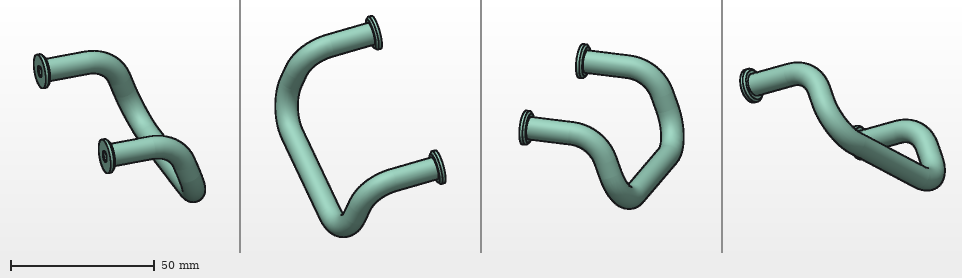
import cadquery as cq
import math

bar_diameter = 8.0
leg_spacing = 64.0
grip_reach = 36.0
grip_drop = 26.0
bend_radius = 13.0
tilt_angle = 70.0

flange_diameter = 12.0
flange_thickness = 2.0
flange_chamfer = 0.8

hole_diameter = 3.3
hole_depth = 10.0
drill_tip_angle = 118.0
hole_mouth_diameter = 4.0

tilt = math.radians(tilt_angle)
tilt_y = math.cos(tilt)
tilt_z = -math.sin(tilt)
leg_x = leg_spacing / 2
leg_bend_y = bend_radius * math.sin(tilt)
leg_bend_drop = bend_radius * (1 - math.cos(tilt))
slope_length = (grip_drop - leg_bend_drop) / math.sin(tilt)
leg_length = grip_reach - leg_bend_y - slope_length * tilt_y
neck_length = slope_length - bend_radius


def leg_points(side):
    """Bar axis points of one leg (side +1 or -1), in order from the foot to the grip."""
    half_tilt = tilt / 2
    slope = cq.Vector(0, tilt_y, tilt_z)
    inward = cq.Vector(-side, 0, 0)
    corner_along = bend_radius * math.sin(math.pi / 4)
    corner_across = bend_radius - corner_along

    foot = cq.Vector(side * leg_x, 0, 0)
    leg_end = foot + cq.Vector(0, leg_length, 0)
    leg_bend_middle = leg_end + cq.Vector(
        0,
        bend_radius * math.sin(half_tilt),
        -bend_radius * (1 - math.cos(half_tilt)),
    )
    neck_start = leg_end + cq.Vector(0, leg_bend_y, -leg_bend_drop)
    neck_end = neck_start + slope * neck_length
    corner_middle = neck_end + slope * corner_along + inward * corner_across
    grip_end = neck_end + (slope + inward) * bend_radius
    return [foot, leg_end, leg_bend_middle, neck_start, neck_end, corner_middle, grip_end]


def leg_path(points):
    """Edges of one leg: straight, bend, straight neck, bend into the grip."""
    start, leg_end, leg_bend_middle, neck_start, neck_end, corner_middle, finish = points
    return [
        cq.Edge.makeLine(start, leg_end),
        cq.Edge.makeThreePointArc(leg_end, leg_bend_middle, neck_start),
        cq.Edge.makeLine(neck_start, neck_end),
        cq.Edge.makeThreePointArc(neck_end, corner_middle, finish),
    ]


def bent_bar():
    """Round bar swept from one foot face, along the grip, to the other foot face."""
    left = leg_points(-1)
    right = leg_points(1)
    grip = cq.Edge.makeLine(left[-1], right[-1])
    path = cq.Wire.assembleEdges(leg_path(left) + [grip] + leg_path(right))
    return (
        cq.Workplane("XZ", origin=(-leg_x, 0, 0))
        .circle(bar_diameter / 2)
        .sweep(cq.Workplane(obj=path))
    )


def flange(foot_x):
    """Disc around the foot, chamfered on the side facing the leg."""
    return (
        cq.Workplane("XZ", origin=(foot_x, 0, 0))
        .circle(flange_diameter / 2)
        .extrude(-flange_thickness)
        .faces(">Y")
        .chamfer(flange_chamfer)
    )


def foot_hole(foot_x):
    """Blind drilled hole with a 90 degree countersunk mouth and a conical tip."""
    radius = hole_diameter / 2
    mouth_radius = hole_mouth_diameter / 2
    tip_length = radius / math.tan(math.radians(drill_tip_angle / 2))
    return (
        cq.Workplane("XY", origin=(foot_x, 0, 0))
        .lineTo(mouth_radius, 0)
        .lineTo(radius, mouth_radius - radius)
        .lineTo(radius, hole_depth)
        .lineTo(0, hole_depth + tip_length)
        .close()
        .revolve(360, (0, 0, 0), (0, 1, 0))
    )


result = bent_bar()
for foot_x in (-leg_x, leg_x):
    result = result.union(flange(foot_x)).cut(foot_hole(foot_x))